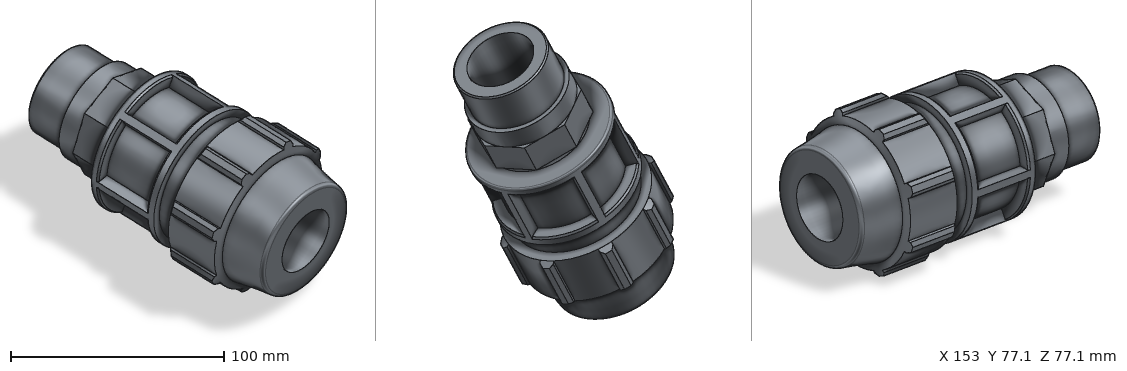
import cadquery as cq
import math

overall_length = 153.0
bore_radius = 33.5 / 2

spigot_radius = 47.7 / 2
spigot_end = 21.9
spigot_chamfer = 0.8
shoulder_radius = 52.6 / 2
shoulder_end = 32.3

octagon_corner_diameter = 56.9
octagon_end = 48.2

neck_start_radius = 22.0
neck_end_radius = 25.7

collar_start = 50.8
collar_end = 90.4
collar_radius = 73.7 / 2
collar_round = 1.0
groove_start = 55.5
groove_end = 85.8
groove_radius = 30.6
groove_chamfer_length = 1.0
groove_chamfer_depth = 0.8
collar_rib_count = 6
collar_rib_width = 4.1

body_radius = 65.6 / 2

nut_start = 100.7
nut_radius = 38.1
nut_rib_count = 8
nut_rib_radius = 41.0
nut_rib_shoulder_radius = 39.2
nut_rib_width = 7.2
nut_rib_top_width = 3.5
nut_rib_top_start = 102.8
nut_rib_top_end = 128.4
tail_start = 131.0
tail_start_radius = 34.1
tail_end = 151.2
tail_end_radius = 30.3
tail_hollow = 0.3
rim_radius = 28.5


def along_axis(profile, start, end):
    """Extrude a closed (y, z) sketch from x = start to x = end."""
    return profile.extrude(end - start).translate((start, 0, 0))


def turned_body():
    """Everything that is round about X, with the grip groove already in it, except the clamping nut."""
    collar_round_sag = collar_round * (1 - math.sqrt(0.5))
    collar_round_middle = (collar_start + collar_round_sag, collar_radius - collar_round_sag)
    tail_middle = (
        (tail_start + tail_end) / 2,
        (tail_start_radius + tail_end_radius) / 2 - tail_hollow,
    )
    rim_middle = (
        tail_end + (overall_length - tail_end) * math.sqrt(0.5),
        rim_radius + (tail_end_radius - rim_radius) * math.sqrt(0.5),
    )
    return (
        cq.Workplane("XY")
        .moveTo(0, 0)
        .lineTo(0, spigot_radius - spigot_chamfer)
        .lineTo(spigot_chamfer, spigot_radius)
        .lineTo(spigot_end, spigot_radius)
        .lineTo(spigot_end, shoulder_radius)
        .lineTo(shoulder_end, shoulder_radius)
        .lineTo(shoulder_end, neck_start_radius)
        .lineTo(octagon_end, neck_start_radius)
        .lineTo(collar_start, neck_end_radius)
        .lineTo(collar_start, collar_radius - collar_round)
        .threePointArc(collar_round_middle, (collar_start + collar_round, collar_radius))
        .lineTo(groove_start - groove_chamfer_length, collar_radius)
        .lineTo(groove_start, collar_radius - groove_chamfer_depth)
        .lineTo(groove_start, groove_radius)
        .lineTo(groove_end, groove_radius)
        .lineTo(groove_end, collar_radius - groove_chamfer_depth)
        .lineTo(groove_end + groove_chamfer_length, collar_radius)
        .lineTo(collar_end, collar_radius)
        .lineTo(collar_end, body_radius)
        .lineTo(tail_start, body_radius)
        .lineTo(tail_start, tail_start_radius)
        .threePointArc(tail_middle, (tail_end, tail_end_radius))
        .threePointArc(rim_middle, (overall_length, rim_radius))
        .lineTo(overall_length, 0)
        .close()
        .revolve(360, (0, 0, 0), (1, 0, 0))
    )


def wrench_octagon():
    octagon = cq.Workplane("YZ").polygon(8, octagon_corner_diameter)
    return along_axis(octagon, shoulder_end, octagon_end)


def collar_ribs():
    """Ribs across the groove, flush with the flanges; one points along -Y."""
    rib_start = groove_start - groove_chamfer_length
    rib_end = groove_end + groove_chamfer_length
    spokes = cq.Workplane("YZ")
    for index in range(collar_rib_count // 2):
        bar = cq.Workplane("YZ").rect(3 * collar_radius, collar_rib_width)
        turn = index * 360 / collar_rib_count
        spokes = spokes.union(along_axis(bar, rib_start, rib_end).rotate((0, 0, 0), (1, 0, 0), turn))
    return spokes.intersect(along_axis(cq.Workplane("YZ").circle(collar_radius), rib_start, rib_end))


def clamping_nut():
    """Ribbed drum trimmed by one cone at the front of the ribs and one at the back of the whole nut."""
    rib_profile = [
        (body_radius, -nut_rib_width / 2),
        (nut_rib_shoulder_radius, -nut_rib_width / 2),
        (nut_rib_radius, -nut_rib_top_width / 2),
        (nut_rib_radius, nut_rib_top_width / 2),
        (nut_rib_shoulder_radius, nut_rib_width / 2),
        (body_radius, nut_rib_width / 2),
    ]
    drum = along_axis(cq.Workplane("YZ").circle(nut_radius), nut_start, tail_start)
    for index in range(nut_rib_count):
        rib = along_axis(cq.Workplane("YZ").polyline(rib_profile).close(), nut_start, tail_start)
        turn = (index + 0.5) * 360 / nut_rib_count
        drum = drum.union(rib.rotate((0, 0, 0), (1, 0, 0), turn))

    front_cone_slope = (nut_rib_top_start - nut_start) / (nut_rib_radius - nut_radius)
    back_cone_slope = (tail_start - nut_rib_top_end) / (nut_rib_radius - tail_start_radius)
    trim_radius = nut_rib_radius + 1.5
    trim_front = nut_rib_top_start + front_cone_slope * (trim_radius - nut_rib_radius)
    trim_back = nut_rib_top_end - back_cone_slope * (trim_radius - nut_rib_radius)
    envelope = (
        cq.Workplane("XY")
        .polyline([
            (nut_start, 0),
            (nut_start, nut_radius),
            (trim_front, trim_radius),
            (trim_back, trim_radius),
            (tail_start, tail_start_radius),
            (tail_start, 0),
        ])
        .close()
        .revolve(360, (0, 0, 0), (1, 0, 0))
    )
    return drum.intersect(envelope)


bore = along_axis(cq.Workplane("YZ").circle(bore_radius), 0, overall_length)

result = (
    turned_body()
    .union(wrench_octagon())
    .union(collar_ribs())
    .union(clamping_nut())
    .cut(bore)
)